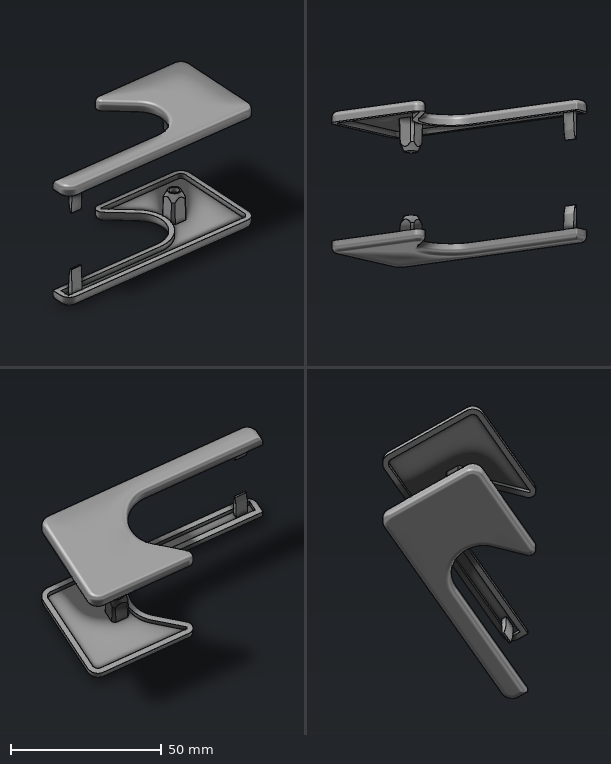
import cadquery as cq
import math

WIDTH = 38.8
LENGTH = 81.5
TOTAL_HEIGHT = 48.0

PLATE_THICKNESS = 4.0
WALL = PLATE_THICKNESS / 2
CORNER_RADIUS = 4.0

ARM_WIDTH = 7.8
ARM_EDGE_RADIUS = 0.25
NOTCH_RADIUS = 10.75
TIP_RADIUS = 2.45
TIP_Y = 45.0

DRAFT_ANGLE = 2.0
POST_INSET = 20.0
POST_SHOULDER_WIDTH = 6.0
POST_CORNER_DIAMETER = 7.4
POST_HOLE_DIAMETER = 3.5
POST_TIP_DIAMETER = 4.6
POST_CONE_ANGLE = 27.0

BLADE_X = 35.2
BLADE_Y = 6.3
BLADE_LENGTH = 4.3
BLADE_RIM_THICKNESS = 1.9
BLADE_TIP_THICKNESS = 0.7
BLADE_BEVEL_HEIGHT = 0.25
BLADE_BEVEL_RUN = 0.1

SHOULDER_Z = PLATE_THICKNESS + 5.8
POST_TOP_Z = PLATE_THICKNESS + 9.1
BLADE_TOP_Z = PLATE_THICKNESS + 8.9


def draft(height):
    """Sideways run of a drafted face over a height."""
    return height * math.tan(math.radians(DRAFT_ANGLE))


def hook_outline(inset):
    """Closed hook outline, moved inwards by inset, with sharp corners at the arm end."""
    left = inset
    right = WIDTH - inset
    front = inset
    back = LENGTH - inset
    arm_left = WIDTH - ARM_WIDTH + inset
    corner = CORNER_RADIUS - inset
    tip = TIP_RADIUS - inset
    notch = NOTCH_RADIUS + inset
    tip_x = TIP_RADIUS
    notch_x = WIDTH - ARM_WIDTH - NOTCH_RADIUS

    normal = math.acos((tip + notch) / (notch_x - tip_x))
    arc_middle = (normal + math.pi) / 2
    corner_middle = corner * (1 - math.sqrt(0.5))

    return (
        cq.Workplane("XY")
        .moveTo(arm_left, front)
        .lineTo(right, front)
        .lineTo(right, back - corner)
        .threePointArc((right - corner_middle, back - corner_middle), (right - corner, back))
        .lineTo(left + corner, back)
        .threePointArc((left + corner_middle, back - corner_middle), (left, back - corner))
        .lineTo(left, TIP_Y)
        .threePointArc(
            (tip_x + tip * math.cos(arc_middle), TIP_Y - tip * math.sin(arc_middle)),
            (tip_x + tip * math.cos(normal), TIP_Y - tip * math.sin(normal)),
        )
        .lineTo(notch_x - notch * math.cos(normal), TIP_Y + notch * math.sin(normal))
        .threePointArc(
            (notch_x - notch * math.cos(arc_middle), TIP_Y + notch * math.sin(arc_middle)),
            (arm_left, TIP_Y),
        )
        .close()
    )


def make_tray():
    """Plate with a rounded outer edge and a shallow pocket that leaves a rim.

    At the arm end the plate's corners are rounded and the pocket's corners stay sharp.
    """
    plate = hook_outline(0).extrude(PLATE_THICKNESS)
    for corner_x, radius in ((WIDTH - ARM_WIDTH, ARM_EDGE_RADIUS), (WIDTH, CORNER_RADIUS)):
        arm_corner = cq.selectors.NearestToPointSelector((corner_x, 0, WALL))
        plate = plate.edges(arm_corner).fillet(radius)
    plate = plate.faces("<Z").edges().fillet(WALL)
    pocket = hook_outline(WALL).extrude(PLATE_THICKNESS).translate((0, 0, WALL))
    return plate.cut(pocket)


def make_post():
    """Hollow square post standing on the pocket floor."""
    drafted_height = SHOULDER_Z - WALL
    base_width = POST_SHOULDER_WIDTH + 2 * draft(drafted_height)
    base_diameter = POST_CORNER_DIAMETER + 2 * draft(drafted_height)
    drafted_square = cq.Workplane("XY").rect(base_width, base_width)
    drafted_round = cq.Workplane("XY").circle(base_diameter / 2)
    drafted = drafted_square.extrude(drafted_height, taper=DRAFT_ANGLE).intersect(
        drafted_round.extrude(drafted_height, taper=DRAFT_ANGLE)
    )

    straight_height = POST_TOP_Z - SHOULDER_Z
    shoulder = cq.Workplane("XY", origin=(0, 0, drafted_height))
    straight = (
        shoulder.rect(POST_SHOULDER_WIDTH, POST_SHOULDER_WIDTH)
        .extrude(straight_height)
        .intersect(shoulder.circle(POST_CORNER_DIAMETER / 2).extrude(straight_height))
    )

    height = POST_TOP_Z - WALL
    tip_radius = POST_TIP_DIAMETER / 2
    cone_radius = tip_radius + height * math.tan(math.radians(POST_CONE_ANGLE))
    cone = cq.Workplane(cq.Solid.makeCone(cone_radius, tip_radius, height))
    hole = cq.Workplane("XY").circle(POST_HOLE_DIAMETER / 2).extrude(height)
    return (
        drafted.union(straight)
        .intersect(cone)
        .cut(hole)
        .translate((POST_INSET, LENGTH - POST_INSET, WALL))
    )


def make_blade():
    """Tongue drafted on both sides, with a steeper lead-in on its left side."""
    rim_left = BLADE_X - BLADE_RIM_THICKNESS / 2
    rim_right = BLADE_X + BLADE_RIM_THICKNESS / 2
    base_run = draft(PLATE_THICKNESS - WALL)
    shoulder_run = draft(SHOULDER_Z - PLATE_THICKNESS)
    tip_right = rim_right - draft(BLADE_TOP_Z - PLATE_THICKNESS)
    return (
        cq.Workplane("XZ", origin=(0, BLADE_Y + BLADE_LENGTH / 2, 0))
        .polyline([
            (rim_left - base_run, WALL),
            (rim_right + base_run, WALL),
            (tip_right, BLADE_TOP_Z),
            (tip_right - BLADE_TIP_THICKNESS + BLADE_BEVEL_RUN, BLADE_TOP_Z),
            (tip_right - BLADE_TIP_THICKNESS, BLADE_TOP_Z - BLADE_BEVEL_HEIGHT),
            (rim_left + shoulder_run, SHOULDER_Z),
        ])
        .close()
        .extrude(BLADE_LENGTH)
    )


def make_shell():
    """One half: tray, post and blade in one solid, open side up."""
    return make_tray().union(make_post()).union(make_blade())


lower_shell = make_shell()
upper_shell = make_shell().mirror("XY", (0, 0, TOTAL_HEIGHT / 2))

result = cq.Compound.makeCompound([lower_shell.val(), upper_shell.val()])